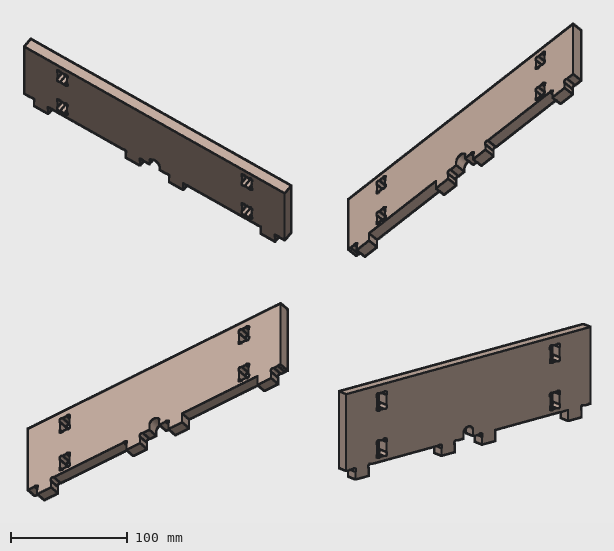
import cadquery as cq
import math

length = 271.0
thickness = 10.0
total_height = 80.0
tab_height = thickness
plate_height = total_height - tab_height

tab_width = 15.0
inner_tab_x = 22.5
outer_tab_x = 118.0

slot_width = thickness
slot_height = tab_width
slot_x = 96.0
slot_depths_from_top = (15.2, 58.0)

notch_width = 10.5
notch_height = 10.0

relief_radius = 2.03
relief_offset = relief_radius / math.sqrt(2)


def block(width, height, x, z):
    """Full-thickness block centred at (x, z)."""
    return cq.Workplane("XY").box(width, thickness, height).translate((x, 0, z))


def cylinder(radius, x, z):
    """Full-thickness cylinder along Y, centred at (x, z)."""
    profile = cq.Workplane("XZ").center(x, z).circle(radius)
    return profile.extrude(thickness / 2, both=True)


def relief(corner_x, corner_z, side_x, side_z):
    """Relief cylinder centred diagonally from a corner, towards the open side."""
    return cylinder(
        relief_radius,
        corner_x + side_x * relief_offset,
        corner_z + side_z * relief_offset,
    )


def slot(x, z):
    """Rectangular slot with a relief in each corner."""
    cutter = block(slot_width, slot_height, x, z)
    for side_x in (-1, 1):
        for side_z in (-1, 1):
            corner_x = x + side_x * slot_width / 2
            corner_z = z + side_z * slot_height / 2
            cutter = cutter.union(relief(corner_x, corner_z, -side_x, -side_z))
    return cutter


def notch():
    """Straight-sided notch closed by a semicircle."""
    radius = notch_width / 2
    arc_z = notch_height - radius
    straight = block(notch_width, arc_z, 0, arc_z / 2)
    return straight.union(cylinder(radius, 0, arc_z))


result = block(length, plate_height, 0, plate_height / 2)
for tab_x in (-outer_tab_x, -inner_tab_x, inner_tab_x, outer_tab_x):
    result = result.union(block(tab_width, tab_height, tab_x, -tab_height / 2))

for x in (-slot_x, slot_x):
    for depth in slot_depths_from_top:
        result = result.cut(slot(x, plate_height - depth))

result = result.cut(notch())

half_tab = tab_width / 2
edge_reliefs = (
    (-outer_tab_x - half_tab, -1),
    (-outer_tab_x + half_tab, 1),
    (-inner_tab_x - half_tab, -1),
    (-inner_tab_x + half_tab, 1),
    (inner_tab_x - half_tab, -1),
    (outer_tab_x + half_tab, 1),
    (length / 2, -1),
)
for corner_x, side_x in edge_reliefs:
    result = result.cut(relief(corner_x, 0, side_x, -1))